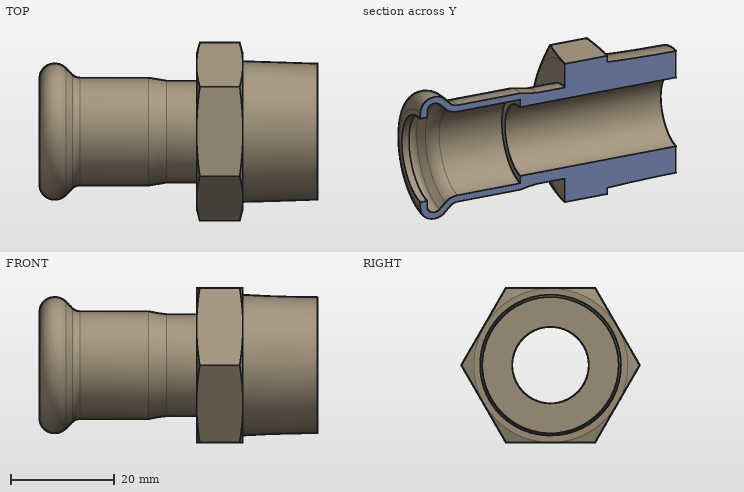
import math

import cadquery as cq


neck_taper_start = 21.1
neck_taper_end = 24.6
hex_start = 30.5
hex_width = 9.0
hex_end = hex_start + hex_width
total_length = 54.0

wall = 1.5
tube_radius = 21.0 / 2
socket_radius = tube_radius - wall
neck_radius = 19.84 / 2
bore_radius = 7.4

bead_arc_radius = 3.0
bead_centre_x = bead_arc_radius
bead_centre_r = 10.25
bead_cone_angle = math.radians(45)
root_fillet_radius = 2.0
root_centre_r = tube_radius + root_fillet_radius

hex_across_flats = 30.0
hex_across_corners = hex_across_flats / math.cos(math.radians(30))
hex_chamfer_radius = 14.95
hex_chamfer_angle = math.radians(15)
hex_rim_clearance = 1.0

spigot_end_radius = 13.22
spigot_taper = 1 / 16
spigot_length = total_length - hex_end
spigot_start_radius = spigot_end_radius + spigot_length * spigot_taper / 2

arc_centre_gap = bead_arc_radius + root_fillet_radius
arc_centre_rise = root_centre_r - bead_centre_r
root_centre_x = bead_centre_x + (
    arc_centre_gap - arc_centre_rise * math.cos(bead_cone_angle)
) / math.sin(bead_cone_angle)


def bead_point(radius, angle):
    """Point on a bead arc; the angle is measured from the radial direction towards +X."""
    return (bead_centre_x + radius * math.sin(angle), bead_centre_r + radius * math.cos(angle))


def root_point(radius, angle):
    """Point on a fillet arc at the bead root; the angle is measured from the inward direction towards -X."""
    return (root_centre_x - radius * math.sin(angle), root_centre_r - radius * math.cos(angle))


def draw_bead(sketch, depth):
    """Continue a profile from the bead's front face to the tube, at a depth below the outer skin."""
    arc_radius = bead_arc_radius - depth
    fillet_radius = root_fillet_radius + depth
    return (
        sketch.lineTo(*bead_point(arc_radius, -math.pi / 2))
        .threePointArc(bead_point(arc_radius, 0), bead_point(arc_radius, bead_cone_angle))
        .lineTo(*root_point(fillet_radius, bead_cone_angle))
        .threePointArc(root_point(fillet_radius, bead_cone_angle / 2), root_point(fillet_radius, 0))
    )


def revolve_about_x(sketch):
    return sketch.close().revolve(360, (0, 0, 0), (1, 0, 0))


def make_body():
    """Solid outer shape of the socket, neck and spigot."""
    profile = draw_bead(cq.Workplane("XY").lineTo(0, socket_radius), 0)
    profile = (
        profile.lineTo(neck_taper_start, tube_radius)
        .lineTo(neck_taper_end, neck_radius)
        .lineTo(hex_end, neck_radius)
        .lineTo(hex_end, spigot_start_radius)
        .lineTo(total_length, spigot_end_radius)
        .lineTo(total_length, 0)
    )
    return revolve_about_x(profile)


def make_hexagon():
    """Hexagon with two corners on the Y axis and both faces chamfered at the corners."""
    prism = cq.Workplane("YZ", origin=(hex_start, 0, 0)).polygon(6, hex_across_corners).extrude(hex_width)
    rim_radius = hex_across_corners / 2 + hex_rim_clearance
    chamfer_depth = (rim_radius - hex_chamfer_radius) * math.tan(hex_chamfer_angle)
    envelope = (
        cq.Workplane("XY")
        .moveTo(hex_start, 0)
        .lineTo(hex_start, hex_chamfer_radius)
        .lineTo(hex_start + chamfer_depth, rim_radius)
        .lineTo(hex_end - chamfer_depth, rim_radius)
        .lineTo(hex_end, hex_chamfer_radius)
        .lineTo(hex_end, 0)
    )
    return prism.intersect(revolve_about_x(envelope))


def make_cavity():
    """Lip, seal groove inside the bead, tube socket and the through bore."""
    profile = draw_bead(cq.Workplane("XY").lineTo(0, socket_radius).lineTo(wall, socket_radius), wall)
    profile = (
        profile.lineTo(neck_taper_start, socket_radius)
        .lineTo(neck_taper_start, bore_radius)
        .lineTo(total_length, bore_radius)
        .lineTo(total_length, 0)
    )
    return revolve_about_x(profile)


result = make_body().union(make_hexagon()).cut(make_cavity())